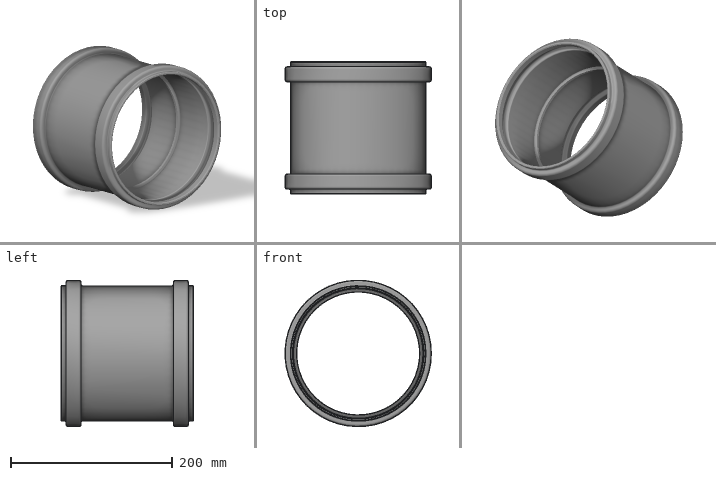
import cadquery as cq

length = 164.0
collar_diameter = 181.3
half_length = length / 2

tube_diameter = 167.5
bore_diameter = 160.5
lip_diameter = 167.9
lip_bore_diameter = 160.8
wall = (tube_diameter - bore_diameter) / 2
lip_chamfer = 0.7
mouth_chamfer = 1.0

collar_setback = 6.2
collar_width = 18.9
collar_round = 3.0
root_fillet = 1.3
groove_corner_fillet = 1.3
collar_outer_y = half_length - collar_setback
collar_inner_y = collar_outer_y - collar_width
groove_diameter = collar_diameter - 2 * wall
groove_outer_y = collar_outer_y - wall
groove_inner_y = collar_inner_y + wall

stop_diameter = 152.1
stop_width = 3.6

pick_margin = 0.2


def disc(diameter, y_start, y_end):
    """Solid disc about the Y axis between two Y positions."""
    sketch = cq.Workplane("XZ", origin=(0, y_end, 0)).circle(diameter / 2)
    return sketch.extrude(y_end - y_start)


def blend_circle(body, diameter, y):
    """Round the circular edge of this diameter at this Y position."""
    reach = diameter / 2 + pick_margin
    picker = cq.selectors.BoxSelector(
        (-reach, y - pick_margin, -reach), (reach, y + pick_margin, reach), boundingbox=True
    )
    return body.edges(picker).fillet(root_fillet)


def outer_half():
    """Solid envelope of one end, with its collar and lip."""
    tube = disc(tube_diameter, 0, collar_inner_y)
    collar = disc(collar_diameter, collar_inner_y, collar_outer_y).edges().fillet(collar_round)
    lip = disc(lip_diameter, collar_outer_y, half_length).faces(">Y").edges().chamfer(lip_chamfer)
    envelope = tube.union(collar).union(lip)
    envelope = blend_circle(envelope, tube_diameter, collar_inner_y)
    return blend_circle(envelope, lip_diameter, collar_outer_y)


def cavity_half():
    """Space inside one end: bore beyond the stop, rounded seal groove and lip bore."""
    bore = disc(bore_diameter, stop_width / 2, groove_inner_y)
    groove = disc(groove_diameter, groove_inner_y, groove_outer_y).edges().fillet(groove_corner_fillet)
    lip_bore = disc(lip_bore_diameter, groove_outer_y, half_length)
    cavity = bore.union(groove).union(lip_bore)
    cavity = blend_circle(cavity, bore_diameter, groove_inner_y)
    return blend_circle(cavity, lip_bore_diameter, groove_outer_y)


half = outer_half().cut(cavity_half()).cut(disc(stop_diameter, 0, half_length))
half = half.faces(">Y").edges(cq.selectors.RadiusNthSelector(0)).chamfer(mouth_chamfer)
result = half.union(half.mirror("XZ")).clean()